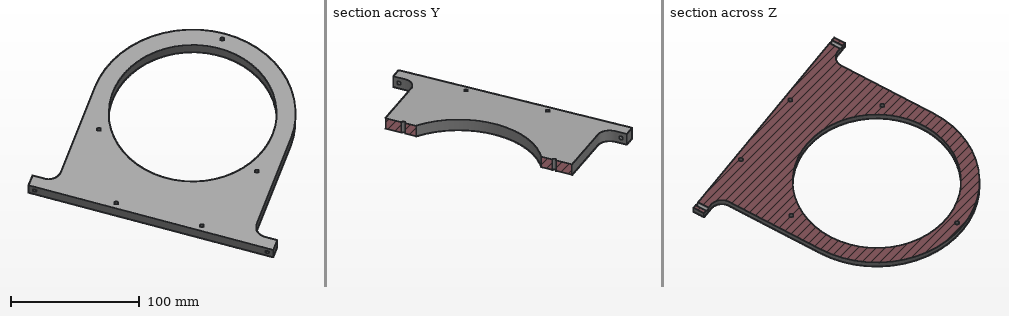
import cadquery as cq
import math

thickness = 10.0
foot_length = 200.0
foot_depth = 10.0
overall_depth = 185.0
body_radius = 80.0
corner_fillet = 10.0
bore_diameter = 130.5
screw_hole_diameter = 3.0
ring_hole_count = 3
ring_hole_radius = 74.5
base_hole_spacing = 70.0
base_hole_shift = 5.0
base_hole_inset = 5.0
end_hole_inset = 5.0

foot_front_y = body_radius - overall_depth
foot_back_y = foot_front_y + foot_depth
foot_half = foot_length / 2


def plate():
    """Round-topped plate standing on a wider foot, with filleted inner corners."""
    outline = (
        cq.Workplane("XY")
        .moveTo(-foot_half, foot_front_y)
        .lineTo(foot_half, foot_front_y)
        .lineTo(foot_half, foot_back_y)
        .lineTo(body_radius + corner_fillet, foot_back_y)
        .radiusArc((body_radius, foot_back_y + corner_fillet), corner_fillet)
        .lineTo(body_radius, 0)
        .threePointArc((0, body_radius), (-body_radius, 0))
        .lineTo(-body_radius, foot_back_y + corner_fillet)
        .radiusArc((-body_radius - corner_fillet, foot_back_y), corner_fillet)
        .lineTo(-foot_half, foot_back_y)
        .close()
    )
    return outline.extrude(thickness)


def vertical_holes(points, diameter):
    """Through-thickness cylinders at the given XY points."""
    return cq.Workplane("XY").pushPoints(points).circle(diameter / 2).extrude(thickness)


def ring_hole_points():
    """Screw positions evenly spaced around the bore, the first one on +Y."""
    pitch = 2 * math.pi / ring_hole_count
    angles = [math.pi / 2 + i * pitch for i in range(ring_hole_count)]
    return [(ring_hole_radius * math.cos(a), ring_hole_radius * math.sin(a)) for a in angles]


def base_hole_points():
    """Pair of screw positions along the front edge, shifted off centre towards +X."""
    y = foot_front_y + base_hole_inset
    return [(base_hole_shift + side * base_hole_spacing / 2, y) for side in (-1, 1)]


def foot_end_holes():
    """Horizontal cylinders along Y through both ends of the foot, at mid thickness."""
    x = foot_half - end_hole_inset
    return (
        cq.Workplane("XZ", origin=(0, foot_back_y, 0))
        .pushPoints([(side * x, thickness / 2) for side in (-1, 1)])
        .circle(screw_hole_diameter / 2)
        .extrude(foot_depth)
    )


result = (
    plate()
    .cut(vertical_holes([(0, 0)], bore_diameter))
    .cut(vertical_holes(ring_hole_points() + base_hole_points(), screw_hole_diameter))
    .cut(foot_end_holes())
)